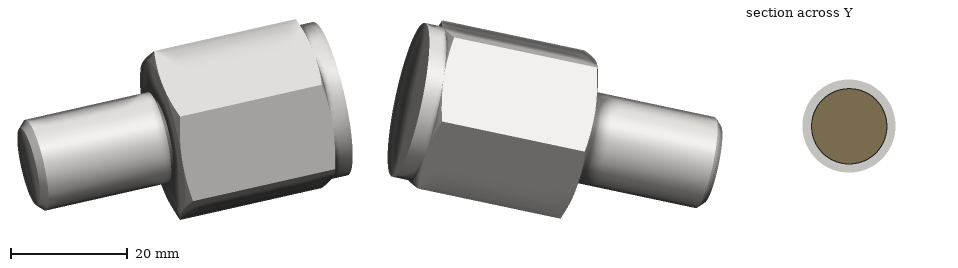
import cadquery as cq
import math

total_length = 54.0
across_flats = 27.0
collar_length = 3.0
hex_length = 27.0
corner_chamfer_length = 0.8
neck_diameter = 13.0
neck_length = 0.8
stud_diameter = 16.0
stud_chamfer = 1.2

across_corners = across_flats / math.cos(math.radians(30))
tip_y = -total_length / 2
collar_back_y = total_length / 2
hex_back_y = collar_back_y - collar_length
hex_front_y = hex_back_y - hex_length
stud_back_y = hex_front_y - neck_length


def cylinder(diameter, start_y, end_y):
    """Solid cylinder about the Y axis."""
    base = cq.Workplane("XZ", origin=(0, start_y, 0))
    return base.circle(diameter / 2).extrude(start_y - end_y)


def chamfered_hexagon():
    """Hexagonal prism with its corners turned off conically at both ends."""
    prism = (
        cq.Workplane("XZ", origin=(0, hex_front_y, 0))
        .polygon(6, across_corners)
        .extrude(-hex_length)
    )
    face_radius = across_flats / 2
    corner_radius = across_corners / 2
    turned_envelope = (
        cq.Workplane("XY")
        .moveTo(0, hex_front_y)
        .lineTo(face_radius, hex_front_y)
        .lineTo(corner_radius, hex_front_y + corner_chamfer_length)
        .lineTo(corner_radius, hex_back_y - corner_chamfer_length)
        .lineTo(face_radius, hex_back_y)
        .lineTo(0, hex_back_y)
        .close()
        .revolve(360, (0, 0, 0), (0, 1, 0))
    )
    return prism.intersect(turned_envelope)


collar = cylinder(across_flats, hex_back_y, collar_back_y)
neck = cylinder(neck_diameter, stud_back_y, hex_front_y)
stud = cylinder(stud_diameter, tip_y, stud_back_y).faces("<Y").chamfer(stud_chamfer)

result = chamfered_hexagon().union(collar).union(neck).union(stud)